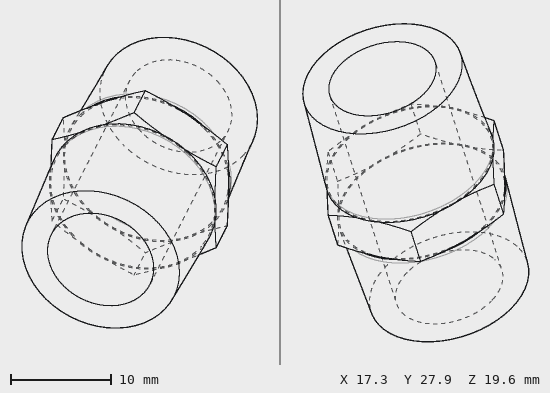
import math

import cadquery as cq

total_length = 27.92
bore_diameter = 11.0
collar_diameter = 17.3
collar_length = 0.45
thread_end_diameter = 16.34
hex_across_flats = 17.0
hex_length = 5.0
hex_corner_angle = 90
hex_chamfer_length = 0.5

collar_radius = collar_diameter / 2
half_length = total_length / 2
half_hex = hex_length / 2
hex_across_corners = hex_across_flats / math.cos(math.pi / 6)
flat_radius = hex_across_flats / 2
corner_radius = hex_across_corners / 2


def revolve_about_y(profile_points):
    """Revolve a closed (radius, y) profile about the Y axis."""
    profile = cq.Workplane("XY").polyline(profile_points).close()
    return profile.revolve(360, (0, 0, 0), (0, 1, 0))


def make_hexagon():
    """Central hexagon with corners on Z, both ends chamfered by a cone."""
    prism = (
        cq.Workplane("XZ")
        .transformed(rotate=(0, 0, hex_corner_angle))
        .polygon(6, hex_across_corners)
        .extrude(half_hex, both=True)
    )
    chamfer_start = half_hex - hex_chamfer_length
    envelope = revolve_about_y([
        (0, -half_hex),
        (flat_radius, -half_hex),
        (corner_radius, -chamfer_start),
        (corner_radius, chamfer_start),
        (flat_radius, half_hex),
        (0, half_hex),
    ])
    return prism.intersect(envelope)


def make_threaded_end(side):
    """Short cylindrical collar and tapered end; side is +1 or -1 along Y."""
    return revolve_about_y([
        (0, side * half_hex),
        (collar_radius, side * half_hex),
        (collar_radius, side * (half_hex + collar_length)),
        (thread_end_diameter / 2, side * half_length),
        (0, side * half_length),
    ])


def make_bore():
    """Through bore along the full length."""
    return cq.Workplane("XZ").circle(bore_diameter / 2).extrude(half_length, both=True)


body = make_hexagon()
for side in (-1, 1):
    body = body.union(make_threaded_end(side))

result = body.cut(make_bore())